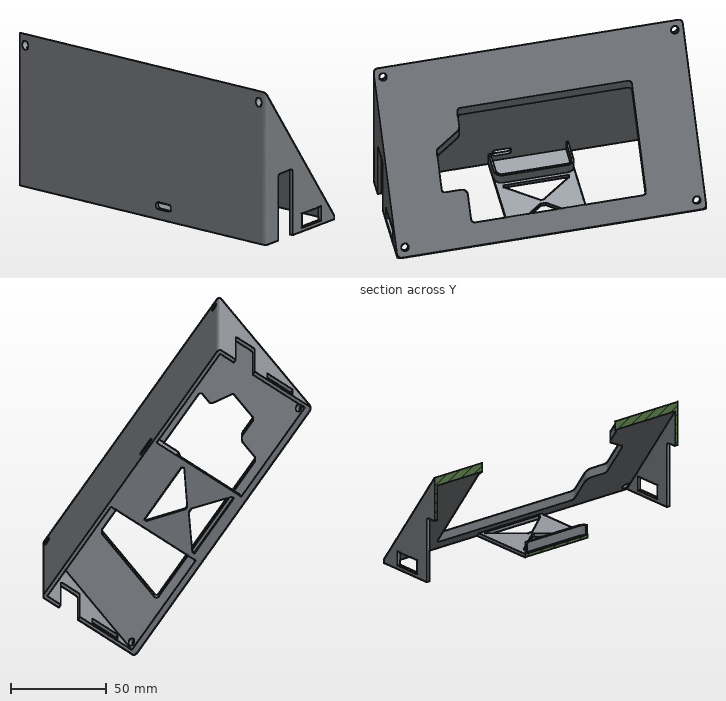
import cadquery as cq
import math

width = 165.5
depth = 58.6
height = 84.0
back_height = 0.5
corner_radius = 2.3

slope_angle = math.atan2(height - back_height, depth)
slope_length = math.hypot(height - back_height, depth)

wall = 2.0
panel_thickness = 3.0
floor_thickness = 2.0

screw_diameter = 4.0
screw_side_inset = 4.6
screw_end_inset = 5.1

window_left = 30.8
window_right = 124.3
window_front = 16.0
window_back = 51.5
tab_right = 137.7
tab_back = 40.9
tab_front_outer = 27.6
tab_front_inner = 22.5

window_corner_radius = 2.0
tab_joint_radius = 3.3
tab_corner_radius = 1.5

side_slot_front = 10.6
side_slot_back = 22.5
side_slot_height = 36.5
side_slot_radius = 1.5
side_port_front = 30.5
side_port_back = 46.5
side_port_height = 8.0

floor_left = 61.6
floor_right = 104.3
floor_center_x = (floor_left + floor_right) / 2
front_truss_tip_y = 35.1
front_truss_base_y = 20.5
front_truss_base_width = 35.1
front_truss_tip_width = 1.5
rear_truss_tip_y = 37.5
rear_truss_base_y = 52.6
rear_truss_base_width = 37.0
rear_truss_tip_width = 2.8
truss_base_lip = 1.3

rim_back = 18.7
rim_top = 7.5
rim_thickness = 1.2
rim_outer_radius = 4.1

connector_left = 92.0
connector_width = 10.1
connector_bottom = 5.5
connector_height = 4.0
connector_radius = 1.8

slope_plane = cq.Plane(
    origin=(0, 0, height),
    xDir=(1, 0, 0),
    normal=(0, math.sin(slope_angle), math.cos(slope_angle)),
)


def rounded_slope_prism(plan_corners):
    """Sweep an outline straight down; each corner is its plan X, plan Y and sloped-plane radius."""
    points = [(x, y / math.cos(slope_angle)) for x, y, _ in plan_corners]
    outline = cq.Workplane(slope_plane).polyline(points).close().val()
    for point, (_, _, radius) in zip(points, plan_corners):
        corner = slope_plane.toWorldCoords(point)
        vertex = min(outline.Vertices(), key=lambda v: (v.Center() - corner).Length)
        outline = outline.fillet2D(radius, [vertex])
    return cq.Workplane(cq.Solid.extrudeLinear(outline, [], cq.Vector(0, 0, -2 * height)))


def make_shell():
    corners = [(x, y, corner_radius) for x, y in [(0, 0), (width, 0), (width, depth), (0, depth)]]
    above_ground = cq.Workplane().box(width, depth, height, centered=False)
    body = rounded_slope_prism(corners).intersect(above_ground)
    drop = panel_thickness / math.cos(slope_angle)
    slope = math.tan(slope_angle)
    cavity_top = height - drop - wall * slope
    cavity_back = (height - drop) / slope
    cavity = (
        cq.Workplane("YZ", origin=(wall, 0, 0))
        .polyline([(wall, 0), (cavity_back, 0), (wall, cavity_top)])
        .close()
        .extrude(width - 2 * wall)
    )
    return body.cut(cavity)


def make_window():
    return rounded_slope_prism([
        (window_left, window_front, window_corner_radius),
        (window_right, window_front, window_corner_radius),
        (window_right, tab_front_inner, tab_joint_radius),
        (tab_right, tab_front_outer, tab_corner_radius),
        (tab_right, tab_back, tab_corner_radius),
        (window_right, tab_back, tab_joint_radius),
        (window_right, window_back, window_corner_radius),
        (window_left, window_back, window_corner_radius),
    ])


def make_screw_holes():
    along_slope = (screw_end_inset, slope_length - screw_end_inset)
    across = (screw_side_inset, width - screw_side_inset)
    centers = [(x, y) for x in across for y in along_slope]
    reach = 2 * panel_thickness
    return (
        cq.Workplane(slope_plane)
        .pushPoints(centers)
        .circle(screw_diameter / 2)
        .extrude(reach, both=True)
    )


def make_side_openings():
    slot = (
        cq.Workplane()
        .box(width, side_slot_back - side_slot_front, side_slot_height, centered=False)
        .edges("|X and >Z")
        .fillet(side_slot_radius)
        .translate((0, side_slot_front, 0))
    )
    port = (
        cq.Workplane()
        .box(width, side_port_back - side_port_front, side_port_height, centered=False)
        .translate((0, side_port_front, floor_thickness))
    )
    return slot.union(port)


def make_truss_opening(tip_y, base_y, tip_width, base_width):
    """Triangle with a blunt tip and a short upright lip at each end of its base."""
    shoulder_y = base_y - math.copysign(truss_base_lip, base_y - tip_y)
    right_side = [(tip_width / 2, tip_y), (base_width / 2, shoulder_y), (base_width / 2, base_y)]
    left_side = [(-x, y) for x, y in reversed(right_side)]
    return (
        cq.Workplane(origin=(floor_center_x, 0, 0))
        .polyline(right_side + left_side)
        .close()
        .extrude(floor_thickness)
    )


def make_floor():
    """Floor strip from the outer face of the front wall to the inside of the rear edge."""
    floor_back = depth - wall
    front_opening = make_truss_opening(
        front_truss_tip_y, front_truss_base_y, front_truss_tip_width, front_truss_base_width
    )
    rear_opening = make_truss_opening(
        rear_truss_tip_y, rear_truss_base_y, rear_truss_tip_width, rear_truss_base_width
    )
    return (
        cq.Workplane()
        .box(floor_right - floor_left, floor_back, floor_thickness, centered=False)
        .translate((floor_left, 0, 0))
        .cut(front_opening)
        .cut(rear_opening)
    )


def make_tray_block(inset):
    """Block behind the front wall, drawn in by the inset at its sides and back."""
    block_width = floor_right - floor_left - 2 * inset
    return (
        cq.Workplane()
        .box(block_width, rim_back - inset - wall, rim_top - floor_thickness, centered=False)
        .edges("|Z and >Y")
        .fillet(rim_outer_radius - inset)
        .translate((floor_left + inset, wall, floor_thickness))
    )


def make_connector_opening():
    return (
        cq.Workplane()
        .box(connector_width, wall, connector_height, centered=False)
        .edges("|Y")
        .fillet(connector_radius)
        .translate((connector_left, 0, connector_bottom))
    )


shell = (
    make_shell()
    .cut(make_window())
    .cut(make_side_openings())
    .cut(make_connector_opening())
)
tray_rim = make_tray_block(0).cut(make_tray_block(rim_thickness))
result = shell.union(make_floor()).union(tray_rim).cut(make_screw_holes())